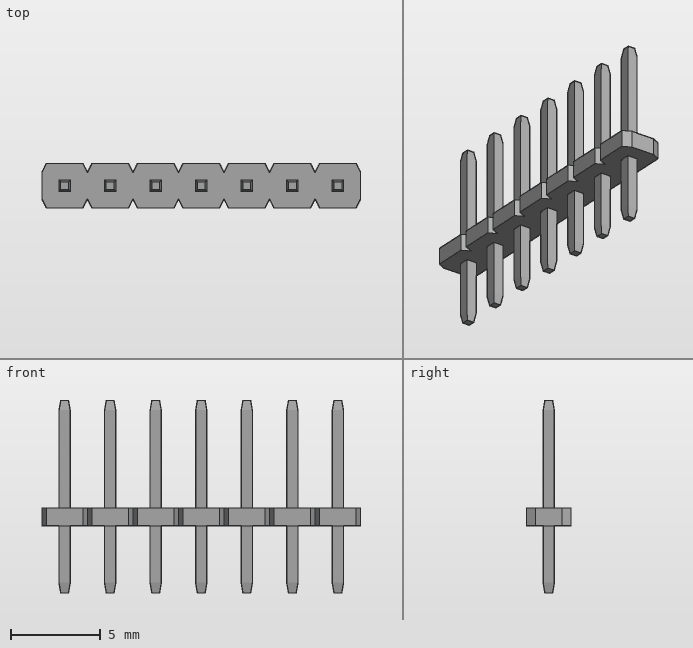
import cadquery as cq
import math

pin_count = 7
pitch = 2.54

housing_width = 2.5
housing_height = 1.0
corner_cut_x = 0.25
corner_cut_y = 0.5

pin_side = 0.64
pin_tip_inset = 0.1
pin_taper_angle = 10.0
pin_above = 6.0
pin_below = 3.75

pin_tip_side = pin_side - 2 * pin_tip_inset
pin_tip_length = pin_tip_inset / math.tan(math.radians(pin_taper_angle))
pin_length = pin_below + housing_height + pin_above
pin_positions = [(i - (pin_count - 1) / 2) * pitch for i in range(pin_count)]


def housing_cell(x):
    """One pitch of the housing: an octagonal block whose cut corners form the V notches."""
    half_x = pitch / 2
    half_y = housing_width / 2
    flat_x = half_x - corner_cut_x
    flat_y = half_y - corner_cut_y
    outline = [
        (-half_x, -flat_y),
        (-flat_x, -half_y),
        (flat_x, -half_y),
        (half_x, -flat_y),
        (half_x, flat_y),
        (flat_x, half_y),
        (-flat_x, half_y),
        (-half_x, flat_y),
    ]
    return cq.Workplane("XY").center(x, 0).polyline(outline).close().extrude(housing_height)


def square_taper(x, z_shaft, z_tip):
    """Pyramid frustum from the full pin section to the smaller tip section."""
    return (
        cq.Workplane("XY", origin=(x, 0, z_shaft))
        .rect(pin_side, pin_side)
        .workplane(offset=z_tip - z_shaft)
        .rect(pin_tip_side, pin_tip_side)
        .loft(ruled=True)
    )


def pin(x):
    """Square pin through the housing, tapered at both ends."""
    bottom = -pin_below
    top = bottom + pin_length
    shaft_bottom = bottom + pin_tip_length
    shaft_top = top - pin_tip_length
    shaft = (
        cq.Workplane("XY", origin=(x, 0, shaft_bottom))
        .rect(pin_side, pin_side)
        .extrude(shaft_top - shaft_bottom)
    )
    lower_tip = square_taper(x, shaft_bottom, bottom)
    upper_tip = square_taper(x, shaft_top, top)
    return shaft.union(lower_tip).union(upper_tip)


housing = housing_cell(pin_positions[0])
for pin_x in pin_positions[1:]:
    housing = housing.union(housing_cell(pin_x))

result = housing
for pin_x in pin_positions:
    result = result.union(pin(pin_x))

result = result.clean()